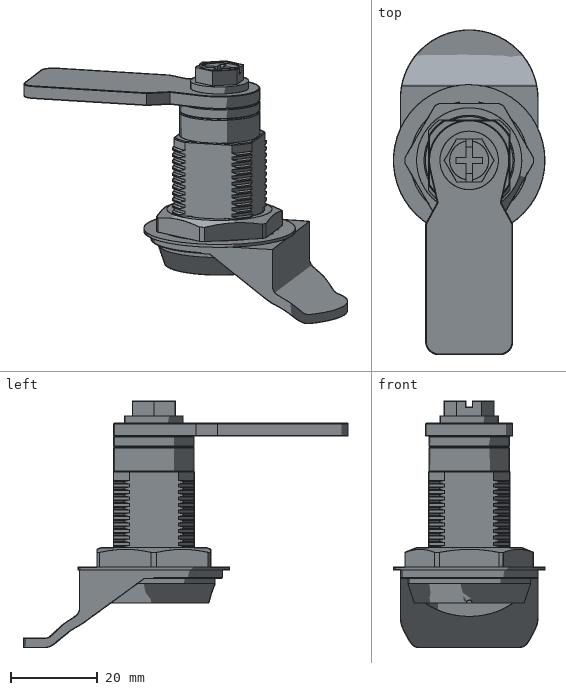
import cadquery as cq
import math

gasket_top = 0.7
nut_top = 5.2
housing_top = 22.8
sleeve_top = 28.4
stop_ring_top = 30.85
lever_top = 33.85
washer_top = 35.5
screw_top = 38.95

flange_radius = 15.9
flange_thickness = 1.95
flange_chamfer = 0.2
insert_radius = 14.15
tab_center_y = 14.2
wedge_back_y = 17.15
wedge_slope_start = (2.2, -flange_thickness)
wedge_slope_end = (16.1, -12.1)
wall_bottom = -8.8
bend_end = (18.2, -10.7)
tab_flat_y = 25.15
tab_bottom = -17.9
tab_thickness = 2.2

insert_straight = 3.15
insert_bottom = -7.65
insert_bottom_radius = 12.65
notch_radius = 0.7
notch_length = 2.25

gasket_diameter = 35.0
gasket_radius = gasket_diameter / 2
key_width = 4.5
key_depth = 0.9

housing_flange_radius = 13.6
housing_flat_width = 18.7
neck_radius = 10.1
thread_crest_radius = 11.6
thread_root_radius = 10.9
thread_pitch = 1.5
thread_crest_width = 0.3
thread_flank_height = 0.3
thread_count = 10
first_crest_z = 6.75
housing_chamfer = 0.2

nut_across_flats = 26.3
nut_corner_radius = 14.8
nut_face_radius = 12.1
nut_chamfer_height = 1.1
nut_bore_chamfer = 0.3

sleeve_radius = 9.3
stop_ring_radius = 9.3
edge_chamfer = 0.2
washer_radius = 6.75

lever_hub_radius = 9.3
lever_half_width = 10.0
lever_neck_half_width = 7.35
lever_tangent_y = -1.7
lever_neck_y = -9.7
lever_shoulder_y = -14.7
lever_end_y = -44.8
lever_corner_radius = 3.0
lever_chamfer = 0.15

screw_across_flats = 9.95
slot_width = 1.5
slot_depth = 1.4
cross_length = 6.15
cross_arm_width = 1.35
cross_depth = 2.25
dish_radius = 4.5
dish_depth = 0.3


def disc(radius, bottom, top):
    """Round disc on the lock axis between two heights."""
    return cq.Workplane("XY").workplane(offset=bottom).circle(radius).extrude(top - bottom)


def hexagon(across_flats, bottom, top):
    """Hexagonal prism with two corners on the X axis."""
    corner_diameter = across_flats / math.cos(math.pi / 6)
    return cq.Workplane("XY").workplane(offset=bottom).polygon(6, corner_diameter).extrude(top - bottom)


def make_pull():
    """Round flange with a wedge behind it that bends down into a finger tab."""
    tab_tip_y = tab_center_y + flange_radius
    tab_top = tab_bottom + tab_thickness
    upper_curve = [(21.0, -12.6), (23.2, -14.75), (tab_flat_y, tab_top)]
    lower_curve = [(22.9, -17.1), (21.0, -15.35), (18.5, -13.55), wedge_slope_end]
    slope_run = wedge_slope_end[0] - wedge_slope_start[0]
    slope_rise = wedge_slope_end[1] - wedge_slope_start[1]
    side_profile = (
        cq.Workplane("YZ", origin=(-flange_radius, 0, 0))
        .lineTo(wedge_back_y, 0)
        .lineTo(wedge_back_y, wall_bottom)
        .tangentArcPoint(bend_end, relative=False)
        .spline(upper_curve, tangents=[(slope_run, slope_rise), (1, 0)], includeCurrent=True)
        .lineTo(tab_tip_y, tab_top)
        .lineTo(tab_tip_y, tab_bottom)
        .lineTo(tab_flat_y, tab_bottom)
        .spline(lower_curve, tangents=[(-1, 0), (-slope_run, -slope_rise)], includeCurrent=True)
        .lineTo(*wedge_slope_start)
        .lineTo(0, -flange_thickness)
        .close()
        .extrude(2 * flange_radius)
    )
    rounded_outline = disc(flange_radius, tab_bottom, 0).translate((0, tab_center_y, 0)).union(
        cq.Workplane("XY")
        .box(2 * flange_radius, tab_center_y, -tab_bottom, centered=(True, False, False))
        .translate((0, 0, tab_bottom))
    )
    wedge = side_profile.intersect(rounded_outline)
    flange = disc(flange_radius, -flange_thickness, 0).faces("<Z").edges().chamfer(flange_chamfer)
    return flange.union(wedge).cut(disc(insert_radius, tab_bottom, 0))


def make_insert():
    """Tapered front insert with a small half-round notch in its lower rim."""
    insert = (
        cq.Workplane("XZ")
        .polyline([
            (0, 0),
            (insert_radius, 0),
            (insert_radius, -insert_straight),
            (insert_bottom_radius, insert_bottom),
            (0, insert_bottom),
        ])
        .close()
        .revolve(360, (0, 0, 0), (0, 1, 0))
    )
    notch = (
        cq.Workplane("XZ", origin=(0, notch_length - insert_radius, insert_bottom))
        .moveTo(-notch_radius, -notch_radius)
        .lineTo(-notch_radius, 0)
        .threePointArc((0, notch_radius), (notch_radius, 0))
        .lineTo(notch_radius, -notch_radius)
        .close()
        .extrude(notch_length)
    )
    return insert.cut(notch)


def make_gasket():
    """Thin ring around the housing flange, with a key that stops it turning."""
    ring = disc(gasket_radius, 0, gasket_top).cut(disc(housing_flange_radius, 0, gasket_top))
    return ring.union(make_gasket_key())


def make_gasket_key():
    """Block on the +Y side that reaches from the gasket into the housing flange."""
    return (
        cq.Workplane("XY")
        .box(key_width, 2 * key_depth, gasket_top, centered=(True, True, False))
        .translate((0, housing_flange_radius, 0))
    )


def make_housing():
    """Flanged housing with thread ridges, flattened on four sides."""
    half_crest = thread_crest_width / 2
    half_base = half_crest + thread_flank_height
    outline = [
        (0, gasket_top),
        (neck_radius, gasket_top),
        (neck_radius, nut_top),
        (thread_crest_radius, nut_top),
        (thread_crest_radius, first_crest_z - thread_pitch + half_crest),
        (thread_root_radius, first_crest_z - thread_pitch + half_base),
    ]
    for ridge in range(thread_count):
        z = first_crest_z + ridge * thread_pitch
        outline += [
            (thread_root_radius, z - half_base),
            (thread_crest_radius, z - half_crest),
            (thread_crest_radius, z + half_crest),
            (thread_root_radius, z + half_base),
        ]
    outline += [(thread_root_radius, housing_top), (0, housing_top)]
    stem = cq.Workplane("XZ").polyline(outline).close().revolve(360, (0, 0, 0), (0, 1, 0))
    flats = (
        cq.Workplane("XY")
        .box(housing_flat_width, housing_flat_width, housing_top, centered=(True, True, False))
    )
    stem = stem.intersect(flats).faces(">Z").edges().chamfer(housing_chamfer)
    flange = disc(housing_flange_radius, 0, gasket_top).cut(make_gasket_key())
    return stem.union(flange)


def make_nut():
    """Hex nut with turned corners, a chamfered upper face and a chamfered bore."""
    turned = (
        cq.Workplane("XZ")
        .polyline([
            (neck_radius, gasket_top),
            (nut_corner_radius, gasket_top),
            (nut_corner_radius, nut_top - nut_chamfer_height),
            (nut_face_radius, nut_top),
            (neck_radius + nut_bore_chamfer, nut_top),
            (neck_radius, nut_top - nut_bore_chamfer),
        ])
        .close()
        .revolve(360, (0, 0, 0), (0, 1, 0))
    )
    return hexagon(nut_across_flats, gasket_top, nut_top).intersect(turned)


def make_sleeve():
    """Round sleeve on the housing, chamfered at its upper edge."""
    return disc(sleeve_radius, housing_top, sleeve_top).faces(">Z").edges().chamfer(edge_chamfer)


def make_stop_ring():
    """Ring between sleeve and lever, chamfered at both edges."""
    return disc(stop_ring_radius, sleeve_top, stop_ring_top).edges("%CIRCLE").chamfer(edge_chamfer)


def make_lever():
    """Flat lever: round hub, narrow neck and a wide blade toward -Y."""
    tangent_x = math.sqrt(lever_hub_radius**2 - lever_tangent_y**2)
    lever = (
        cq.Workplane("XY")
        .workplane(offset=stop_ring_top)
        .moveTo(tangent_x, lever_tangent_y)
        .threePointArc((0, lever_hub_radius), (-tangent_x, lever_tangent_y))
        .lineTo(-lever_neck_half_width, lever_neck_y)
        .lineTo(-lever_half_width, lever_shoulder_y)
        .lineTo(-lever_half_width, lever_end_y)
        .lineTo(lever_half_width, lever_end_y)
        .lineTo(lever_half_width, lever_shoulder_y)
        .lineTo(lever_neck_half_width, lever_neck_y)
        .close()
        .extrude(lever_top - stop_ring_top)
    )
    lever = lever.faces("<Y").edges("|Z").fillet(lever_corner_radius)
    return lever.faces("<Z or >Z").edges().chamfer(lever_chamfer)


def make_screw():
    """Hex-head screw with a slot along Y, a cross recess and a shallow dish."""
    head = hexagon(screw_across_flats, washer_top, screw_top)
    dish = disc(dish_radius, screw_top - dish_depth, screw_top)
    slot = cut_block(slot_width, screw_across_flats, slot_depth)
    cross_x = cut_block(cross_length, cross_arm_width, cross_depth)
    cross_y = cut_block(slot_width, cross_length, cross_depth)
    return head.cut(dish).cut(slot).cut(cross_x).cut(cross_y)


def cut_block(length_x, length_y, depth):
    """Block sunk into the top of the screw head."""
    return (
        cq.Workplane("XY")
        .box(length_x, length_y, depth, centered=(True, True, False))
        .translate((0, 0, screw_top - depth))
    )


pull = make_pull()
insert = make_insert()
gasket = make_gasket()
housing = make_housing()
nut = make_nut()
sleeve = make_sleeve()
stop_ring = make_stop_ring()
lever = make_lever()
washer = disc(washer_radius, lever_top, washer_top)
screw = make_screw()

result = cq.Compound.makeCompound([
    pull.val(),
    insert.val(),
    gasket.val(),
    housing.val(),
    nut.val(),
    sleeve.val(),
    stop_ring.val(),
    lever.val(),
    washer.val(),
    screw.val(),
])